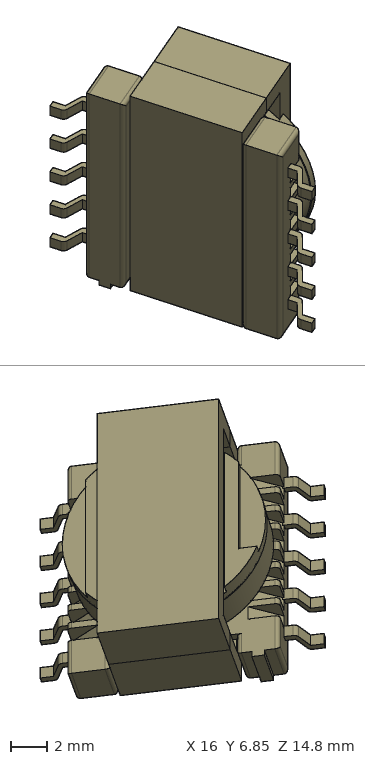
import cadquery as cq


core_width = 6.85
core_height = 14.75
core_half_depth = 3.09
window_height = 12.51
window_half_depth = 1.75

winding_radius = 5.66
winding_length = 2.0
hub_radius = 3.2
flange_radius = 5.73
flange_thickness = 0.5
winding_front = -winding_length / 2
winding_back = winding_length / 2
flange_back = winding_back + flange_thickness

strip_inner_x = 3.52
strip_outer_x = 4.3
strip_height = 0.5
ear_top_z = -2.05

bar_inner_x = 3.58
bar_outer_x = 5.98
bar_width = bar_outer_x - bar_inner_x
bar_center_x = (bar_inner_x + bar_outer_x) / 2
bar_height = 13.92
bar_depth = 2.5
bar_edge_radius = 0.25
bar_front = winding_front - bar_depth

lug_width = 0.7
lug_height = 0.34

slot_first_z = 0.69
slot_pitch = 1.22
slots_per_half = 4
slot_width = 0.82
slot_length = 1.28
slot_ramp_depth = 1.76

pin_count = 5
pin_pitch = 2.5
pin_width = 0.7
pin_thickness = 0.4
pin_tip_x = 8
pin_front = -3.76
pin_shoulder_y = -2.22
shoulder_inner_x = 6.56
foot_inner_x = 7.25
foot_outer_x = 7.12
shoulder_outer_x = 6.69
pin_bend_radius = 0.32

SIDES = (-1, 1)


def box(x_range, y_range, z_range):
    """Block that fills the given X, Y and Z ranges."""
    size = [high - low for low, high in (x_range, y_range, z_range)]
    corner = (x_range[0], y_range[0], z_range[0])
    return cq.Workplane("XY").box(*size, centered=False).translate(corner)


def disc(radius, start_y, end_y):
    """Cylinder around the Y axis between two Y positions."""
    plane = cq.Workplane("XZ", origin=(0, end_y, 0))
    return plane.circle(radius).extrude(end_y - start_y)


def both_sides(shape):
    """The +X shape together with its mirror image on the -X side."""
    return shape.union(shape.mirror("YZ"))


def make_core_half(side):
    """U-shaped core half, open towards Y = 0; side is the sign of its Y position."""
    block = cq.Workplane("XY").box(core_width, core_half_depth, core_height)
    block = block.translate((0, side * core_half_depth / 2, 0))
    window = cq.Workplane("XY").box(core_width, window_half_depth, window_height)
    return block.cut(window.translate((0, side * window_half_depth / 2, 0)))


def make_winding():
    """Ring wound around the bobbin hub."""
    ring = disc(winding_radius, winding_front, winding_back)
    return ring.cut(disc(hub_radius, winding_front, winding_back))


def make_guide_strips():
    """Strips beside the core on the back flange; the -X one widens into an ear at its lower end."""
    y_range = (flange_back, flange_back + strip_height)
    z_range = (-flange_radius, flange_radius)
    strips = both_sides(box((strip_inner_x, strip_outer_x), y_range, z_range))
    ear = box((-flange_radius, -strip_inner_x), y_range, (-flange_radius, ear_top_z))
    return strips.union(ear).intersect(disc(flange_radius, *y_range))


def make_spool():
    """Hub, round back flange and rectangular front plate that joins the two bars."""
    hub = disc(hub_radius, winding_front, winding_back)
    flange = disc(flange_radius, winding_back, flange_back)
    plate_end_x = bar_inner_x + bar_edge_radius
    plate = box(
        (-plate_end_x, plate_end_x),
        (winding_front - flange_thickness, winding_front),
        (-winding_radius, winding_radius),
    )
    return hub.union(flange).union(plate).union(make_guide_strips())


def make_slot(z):
    """Wedge cut from the outer face of the +X bar, deepest at the back of the bar."""
    profile = cq.Workplane("XY", origin=(0, 0, z - slot_width / 2))
    profile = profile.moveTo(bar_outer_x, winding_front - slot_length)
    profile = profile.lineTo(bar_outer_x, winding_front)
    profile = profile.lineTo(bar_outer_x - slot_ramp_depth, winding_front)
    return profile.close().extrude(slot_width)


def make_bar():
    """+X bar with rounded edges around its inner and outer faces, and its wire slots."""
    bar = cq.Workplane("XY").box(bar_width, bar_depth, bar_height)
    bar = bar.faces("<X or >X").edges().fillet(bar_edge_radius)
    bar = bar.translate((bar_center_x, winding_front - bar_depth / 2, 0))
    for index in range(slots_per_half):
        slot_z = slot_first_z + index * slot_pitch
        for side in SIDES:
            bar = bar.cut(make_slot(side * slot_z))
    return bar


def make_pin(z):
    """+X gull-wing pin with rounded outer bends; its root lies inside the bar."""
    outline = [
        (bar_center_x, pin_shoulder_y),
        (shoulder_outer_x, pin_shoulder_y),
        (foot_inner_x, pin_front + pin_thickness),
        (pin_tip_x, pin_front + pin_thickness),
        (pin_tip_x, pin_front),
        (foot_outer_x, pin_front),
        (shoulder_inner_x, pin_shoulder_y - pin_thickness),
        (bar_center_x, pin_shoulder_y - pin_thickness),
    ]
    outer_bends = (outline[1], outline[5])
    pin = cq.Workplane("XY", origin=(0, 0, z - pin_width / 2)).polyline(outline).close().extrude(pin_width)
    for x, y in outer_bends:
        pin = pin.edges(cq.NearestToPointSelector((x, y, z))).fillet(pin_bend_radius)
    return pin


def make_lug():
    """Marker lug on the lower end of the -X bar."""
    bar_bottom = -bar_height / 2
    return box(
        (-bar_center_x - lug_width / 2, -bar_center_x + lug_width / 2),
        (bar_front, winding_front),
        (bar_bottom - lug_height, bar_bottom),
    )


def make_bobbin():
    """Spool, pin bars, pins and marker lug as one body."""
    pin_bar = make_bar()
    for index in range(pin_count):
        pin_bar = pin_bar.union(make_pin((index - (pin_count - 1) / 2) * pin_pitch))
    return make_spool().union(both_sides(pin_bar)).union(make_lug())


core_halves = [make_core_half(side) for side in SIDES]
winding = make_winding()
bobbin = make_bobbin()

result = cq.Compound.makeCompound([*(half.val() for half in core_halves), winding.val(), bobbin.val()])